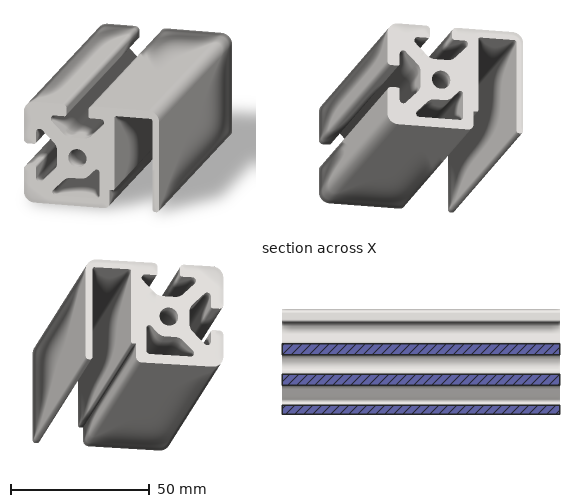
import cadquery as cq

length = 100.0
left = -20.0
top = 20.0
bottom = -18.0
right = 30.5
outer_radius = 4.0
hole_diameter = 6.8

slot_half_opening = 4.1
slot_floor = 7.6
lip_inner = 15.4
diagonal_offset = 3.6
slot_tip_radius = 1.3
flank_radius = 4.0
lip_outer_radius = 1.5
lip_inner_radius = 0.8

cavity_right = 8.2
cavity_bottom = -14.6
cavity_flank_sum = 10.5
cavity_tip_radius = 1.0
cavity_corner_radius = 1.2

channel_left = 13.8
channel_right = 28.0
channel_top = 17.0
channel_corner_radius = 0.8
step_x = 12.0
step_z = -11.0
step_radius = 0.5
base_corner_radius = 2.0
leg_tip_radius = 1.0


def extrude_outline(points):
    """Prism over the whole length from (X, Z) points."""
    return cq.Workplane("XZ").polyline(points).close().extrude(length / 2, both=True)


def round_edges(body, points, radius):
    """Fillet the lengthwise edges that pass through the given (X, Z) points."""
    edges = cq.Workplane("XY")
    for x, z in points:
        edges = edges.add(body.edges(cq.selectors.NearestToPointSelector((x, 0, z))))
    return body.newObject([body.val().fillet(radius, edges.vals())])


def make_blank():
    body = extrude_outline([
        (left, bottom),
        (step_x, bottom),
        (step_x, step_z),
        (channel_left, step_z),
        (channel_left, channel_top),
        (channel_right, channel_top),
        (channel_right, bottom),
        (right, bottom),
        (right, top),
        (left, top),
    ])
    body = round_edges(body, [(left, bottom), (left, top), (right, top)], outer_radius)
    body = round_edges(body, [(step_x, bottom)], base_corner_radius)
    body = round_edges(body, [(channel_left, step_z)], step_radius)
    channel_corners = [(channel_left, channel_top), (channel_right, channel_top)]
    body = round_edges(body, channel_corners, channel_corner_radius)
    return round_edges(body, [(channel_right, bottom), (right, bottom)], leg_tip_radius)


def cut_slot(body, place):
    """Cut a T-slot; place maps (across, depth) to (X, Z)."""
    floor_half = slot_floor - diagonal_offset
    tip_half = lip_inner - diagonal_offset

    def both_sides(across, depth):
        return [place(-across, depth), place(across, depth)]

    tips = both_sides(tip_half, lip_inner)
    floor_corners = both_sides(floor_half, slot_floor)
    pocket = extrude_outline(tips + floor_corners[::-1])
    pocket = round_edges(pocket, tips, slot_tip_radius)
    pocket = round_edges(pocket, floor_corners, flank_radius)
    mouth = extrude_outline(
        both_sides(slot_half_opening, lip_inner) + both_sides(slot_half_opening, top)[::-1]
    )
    body = body.cut(pocket.union(mouth))
    body = round_edges(body, both_sides(slot_half_opening, top), lip_outer_radius)
    return round_edges(body, both_sides(slot_half_opening, lip_inner), lip_inner_radius)


def make_cavity():
    lower_left = (cavity_bottom + diagonal_offset, cavity_bottom)
    lower_right = (cavity_right, cavity_bottom)
    upper_tip = (cavity_right, cavity_right - cavity_flank_sum)
    floor_right = (cavity_flank_sum - slot_floor, -slot_floor)
    floor_left = (diagonal_offset - slot_floor, -slot_floor)
    cavity = extrude_outline([lower_left, lower_right, upper_tip, floor_right, floor_left])
    cavity = round_edges(cavity, [floor_left, floor_right], flank_radius)
    cavity = round_edges(cavity, [lower_left, lower_right], cavity_corner_radius)
    return round_edges(cavity, [upper_tip], cavity_tip_radius)


body = make_blank()
body = cut_slot(body, lambda across, depth: (across, depth))
body = cut_slot(body, lambda across, depth: (-depth, across))
body = body.cut(make_cavity())
core_hole = cq.Workplane("XZ").circle(hole_diameter / 2).extrude(length / 2, both=True)
result = body.cut(core_hole)